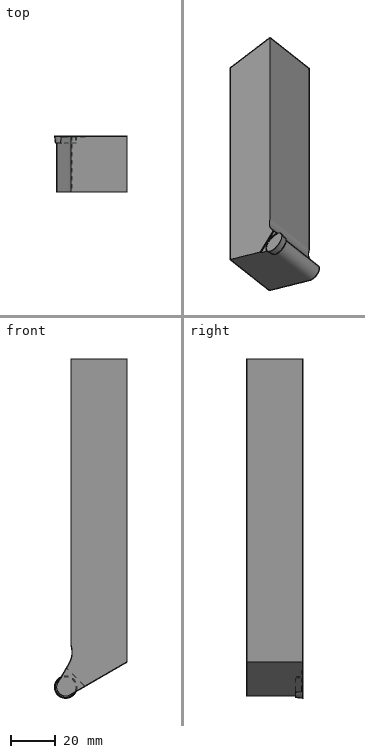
import cadquery as cq
import math


shank_size = 25.0
tool_length = 151.35
tip_overhang = 7.35

insert_radius = 5.0
insert_thickness = 3.18
clearance_angle = 7.0
insert_x = insert_radius - tip_overhang
insert_z = insert_radius
insert_base_radius = insert_radius - insert_thickness * math.tan(math.radians(clearance_angle))
insert_base_y = shank_size - insert_thickness

nose_radius = 4.0
upper_flank_angle = 60.0
lower_flank_angle = 30.0
head_axis_angle = (upper_flank_angle + lower_flank_angle) / 2

blend_radius = 10.0
blend_depth = 0.45

relief_depth = 0.5
relief_end = 6.3
relief_size = 2 * shank_size


def direction(angle):
    """Unit vector (x, z) at an angle in degrees from X."""
    return math.cos(math.radians(angle)), math.sin(math.radians(angle))


def along(start, angle, distance):
    """Point (x, z) reached from start by moving a distance at an angle."""
    dx, dz = direction(angle)
    return start[0] + distance * dx, start[1] + distance * dz


def make_insert():
    """Truncated cone, wide at the cutting edge on the rake side."""
    base = cq.Vector(insert_x, insert_base_y, insert_z)
    cone = cq.Solid.makeCone(insert_base_radius, insert_radius, insert_thickness, base, cq.Vector(0, 1, 0))
    return cq.Workplane(obj=cone)


def make_blank():
    """Shank and head as one profile extruded across the tool width."""
    centre = (insert_x, insert_z)
    nose_start = along(centre, lower_flank_angle - 90, nose_radius)
    nose_middle = along(centre, head_axis_angle + 180, nose_radius)
    nose_end = along(centre, upper_flank_angle + 90, nose_radius)

    lower_slope = math.tan(math.radians(lower_flank_angle))
    heel_z = nose_start[1] + (shank_size - nose_start[0]) * lower_slope

    blend_x = blend_depth - blend_radius
    blend_end_x = along((blend_x, 0), upper_flank_angle - 90, blend_radius)[0]
    upper_slope = math.tan(math.radians(upper_flank_angle))
    blend_end_z = nose_end[1] + (blend_end_x - nose_end[0]) * upper_slope
    blend_z = along((blend_end_x, blend_end_z), upper_flank_angle + 90, blend_radius)[1]
    blend_start_z = blend_z + math.sqrt(blend_radius**2 - blend_x**2)

    profile = (
        cq.Workplane("XZ")
        .moveTo(0, tool_length)
        .lineTo(shank_size, tool_length)
        .lineTo(shank_size, heel_z)
        .lineTo(*nose_start)
        .threePointArc(nose_middle, nose_end)
        .lineTo(blend_end_x, blend_end_z)
        .threePointArc((blend_depth, blend_z), (0, blend_start_z))
        .close()
    )
    return profile.extrude(-shank_size)


def make_relief():
    """Cutter that lowers the rake side of the head around the insert."""
    block = cq.Workplane("XY").box(relief_size, relief_depth, relief_size, centered=(False, False, True))
    return (
        block.translate((-relief_size + relief_end, 0, 0))
        .rotate((0, 0, 0), (0, 1, 0), -head_axis_angle)
        .translate((insert_x, shank_size - relief_depth, insert_z))
    )


insert = make_insert()

holder = make_blank().cut(make_relief()).cut(insert).solids()

result = cq.Compound.makeCompound([holder.val(), insert.val()])